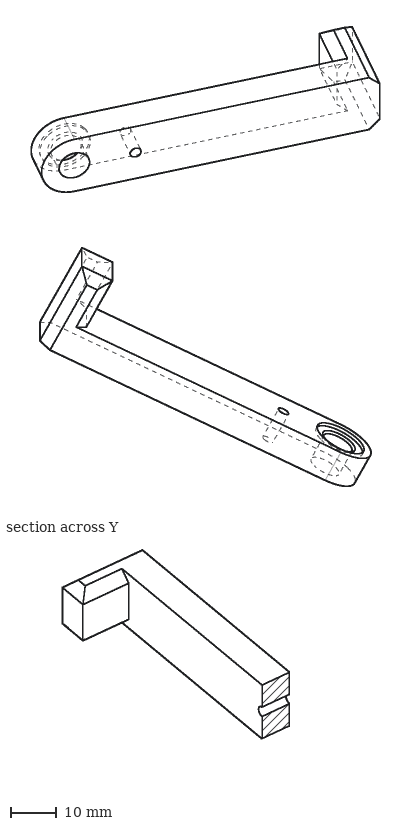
import cadquery as cq

length = 77.5
width = 20.0
height = 15.0
thickness = 7.5
chamfer = 2.5
bore_diameter = 7.0
bore_bevel = 0.5
recess_diameter = 11.55
recess_depth = 0.8
pin_diameter = 2.5
pin_spacing = 14.0

end_radius = height / 2
toe_end_y = length - end_radius
toe_reach = width - thickness


def centred_box(x_min, x_max, y_min, y_max):
    """Full-height block centred on Z = 0."""
    block = cq.Workplane("XY").box(x_max - x_min, y_max - y_min, height, centered=(False, False, True))
    return block.translate((x_min, y_min, 0))


def disc(diameter, depth, y=0):
    """Cylinder running along +X from the inner arm face."""
    return cq.Workplane("YZ").center(y, 0).circle(diameter / 2).extrude(depth)


def make_arm():
    """Flat bar with a full-radius pivot end and a bevelled far end."""
    bar = centred_box(0, thickness, 0, toe_end_y)
    bar = bar.faces(">Y").edges("|X").chamfer(chamfer)
    return bar.union(disc(height, thickness))


def make_toe():
    """Foot projecting toward -X, bevelled on its three free sides."""
    toe = centred_box(-toe_reach, 0, toe_end_y - thickness, toe_end_y)
    free_edges = toe.faces("<Z or >Z").edges("<X or <Y or >Y")
    return free_edges.chamfer(chamfer)


def make_pivot_cut():
    """Through bore, shallow round recess and the bevel between them."""
    half_section = [
        (0, 0),
        (0, recess_diameter / 2),
        (recess_depth, recess_diameter / 2),
        (recess_depth, bore_diameter / 2 + bore_bevel),
        (recess_depth + bore_bevel, bore_diameter / 2),
        (thickness, bore_diameter / 2),
        (thickness, 0),
    ]
    return cq.Workplane("XY").polyline(half_section).close().revolve(360, (0, 0, 0), (1, 0, 0))


pin_hole = disc(pin_diameter, thickness, pin_spacing)
result = make_arm().union(make_toe()).cut(make_pivot_cut()).cut(pin_hole)